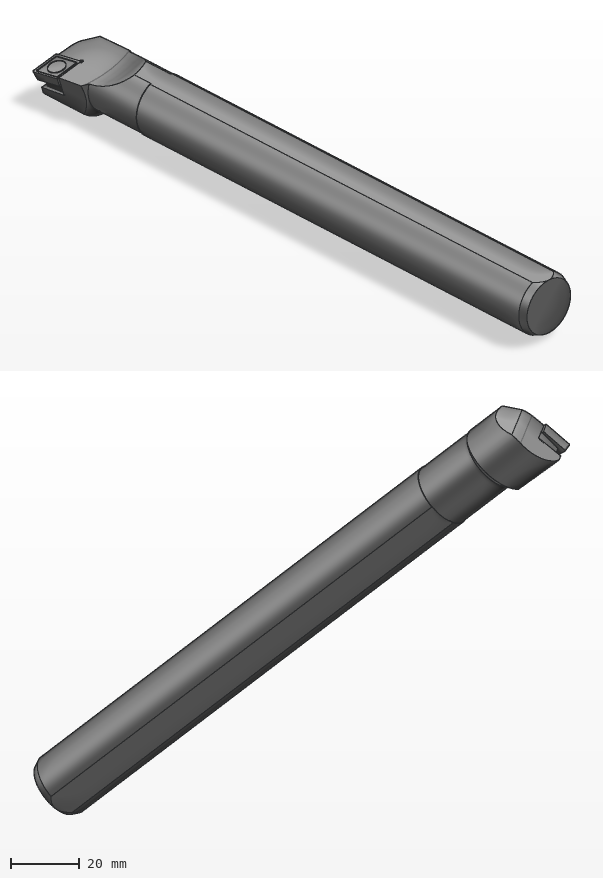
import cadquery as cq
import math

bar_end = 200.0
shank_start = 40.0
shank_radius = 10.0
flat_height = 9.0
end_chamfer_length = 2.5
end_chamfer_depth = 1.0
neck_start = 20.0
neck_radius = 9.8

head_radius = 11.5
head_center_y = -1.2
head_center_z = -0.5

tip_point = (-0.02, -12.85, -0.2)
rake_slope_x = 0.1
rake_slope_y = 0.24
rake = cq.Plane(
    origin=tip_point,
    xDir=(1, 0, rake_slope_x),
    normal=(-rake_slope_x, -rake_slope_y, 1),
)
cut_height = 28.0

side_wall_front = 1.2
side_wall_back = 2.1
nose_inset = 0.5
nose_flat_end = (2.3, 14.2)
nose_round_middle = (2.7, 15.9)
nose_round_end = (3.3, 17.5)
nose_bevel_end = (12.5, 27.5)
outline_back = 32.0

gullet_axis = (-6.5, 13.2)
gullet_flat_radius = 28.0
gullet_rim_radius = 24.0
gullet_rim_angle = math.radians(60)

insert_side = 9.5
insert_angle = 80.0
insert_thickness = 3.2
insert_clearance = 7.0
insert_nose_radius = 0.5
land_width = 0.8
groove_depth = 0.3
island_radius = 2.8

corner_relief_radius = 0.5
seat_relief_depth = 3.5
seat_pad_corner = (1.8, 2.5)


def rake_plane(height=0.0):
    """Workplane parallel to the rake plane at a height above it."""
    return cq.Workplane(rake).workplane(offset=height)


def rhombus_points(side):
    """Corners of the insert rhombus, the cutting tip first, set evenly between the two axes."""
    lead = math.radians((90 - insert_angle) / 2)
    along = side * math.cos(lead)
    across = side * math.sin(lead)
    return [(0, 0), (along, across), (along + across, along + across), (across, along)]


def rhombus(height=0.0):
    return rake_plane(height).polyline(rhombus_points(insert_side)).close()


def make_shank():
    length = bar_end - shank_start
    shank = (
        cq.Workplane("YZ", origin=(shank_start, 0, 0))
        .circle(shank_radius)
        .extrude(length)
        .faces(">X")
        .chamfer(end_chamfer_length, end_chamfer_depth)
    )
    flats = cq.Workplane("XY").box(2 * bar_end, 2 * shank_radius, 2 * flat_height)
    return shank.intersect(flats)


def make_neck():
    neck = cq.Workplane("YZ", origin=(neck_start, 0, 0)).circle(neck_radius)
    neck = neck.extrude(shank_start - neck_start)
    flat = (
        cq.Workplane("XY", origin=(0, 0, flat_height))
        .rect(2 * bar_end, 2 * shank_radius)
        .extrude(neck_radius)
    )
    return neck.cut(flat)


def make_head():
    """Eccentric cylinder, bevelled down to the neck and trimmed to the nose outline."""
    blank = cq.Workplane("YZ").center(head_center_y, head_center_z).circle(head_radius)
    blank = blank.extrude(neck_start)
    bevel = (
        cq.Workplane("XY")
        .lineTo(neck_start, 0)
        .lineTo(neck_start, neck_radius)
        .lineTo(0, neck_radius + neck_start)
        .close()
        .revolve(360, (0, 0, 0), (1, 0, 0))
    )
    outline = (
        rake_plane(-cut_height)
        .moveTo(nose_inset, side_wall_front)
        .lineTo(*nose_flat_end)
        .threePointArc(nose_round_middle, nose_round_end)
        .lineTo(*nose_bevel_end)
        .lineTo(outline_back, nose_bevel_end[1])
        .lineTo(outline_back, side_wall_back)
        .close()
        .extrude(2 * cut_height)
    )
    return blank.intersect(bevel).intersect(outline)


def make_gullet():
    """Volume cleared above the rake plane, with a rim that rises tangent from it."""

    def rim_point(angle):
        radius = gullet_flat_radius + gullet_rim_radius * math.sin(angle)
        return radius, gullet_rim_radius * (1 - math.cos(angle))

    end = rim_point(gullet_rim_angle)
    section = cq.Plane(
        origin=rake.toWorldCoords((*gullet_axis, 0)), xDir=rake.xDir, normal=-rake.yDir
    )
    return (
        cq.Workplane(section)
        .lineTo(gullet_flat_radius, 0)
        .threePointArc(rim_point(gullet_rim_angle / 2), end)
        .lineTo(end[0], cut_height)
        .lineTo(0, cut_height)
        .close()
        .revolve(360, (0, 0, 0), (0, 1, 0))
    )


def make_seat():
    """Straight-walled insert pocket with a relieved inner corner and a set-back pad below."""
    pocket = rhombus(-insert_thickness).extrude(insert_thickness)
    inner_corner = rhombus_points(insert_side)[2]
    corner_relief = (
        rake_plane(-insert_thickness)
        .center(*inner_corner)
        .circle(corner_relief_radius)
        .extrude(insert_thickness)
    )
    relief_floor = -insert_thickness - seat_relief_depth
    pad = (
        rake_plane(relief_floor)
        .center(*seat_pad_corner)
        .rect(insert_side * 2, insert_side * 2, centered=False)
        .extrude(seat_relief_depth)
    )
    relief = rhombus(relief_floor).extrude(seat_relief_depth).cut(pad)
    return pocket.union(corner_relief).union(relief)


def make_holder():
    neck_and_head = make_neck().union(make_head()).cut(make_gullet())
    return make_shank().union(neck_and_head).cut(make_seat())


def make_insert():
    """Tapered rhombic insert with a chip groove around a round central island."""
    body = rhombus().extrude(-insert_thickness, taper=insert_clearance)
    tip_edge = cq.selectors.NearestToPointSelector(
        rake.toWorldCoords((0, 0, -insert_thickness / 2)).toTuple()
    )
    body = body.edges(tip_edge).fillet(insert_nose_radius)
    center = rhombus_points(insert_side)[2][0] / 2
    groove = rhombus(-groove_depth).offset2D(-land_width).extrude(groove_depth)
    island = rake_plane(-groove_depth).center(center, center).circle(island_radius)
    return body.cut(groove.cut(island.extrude(groove_depth)))


holder = make_holder()
insert = make_insert()

result = cq.Compound.makeCompound([holder.val(), insert.val()])